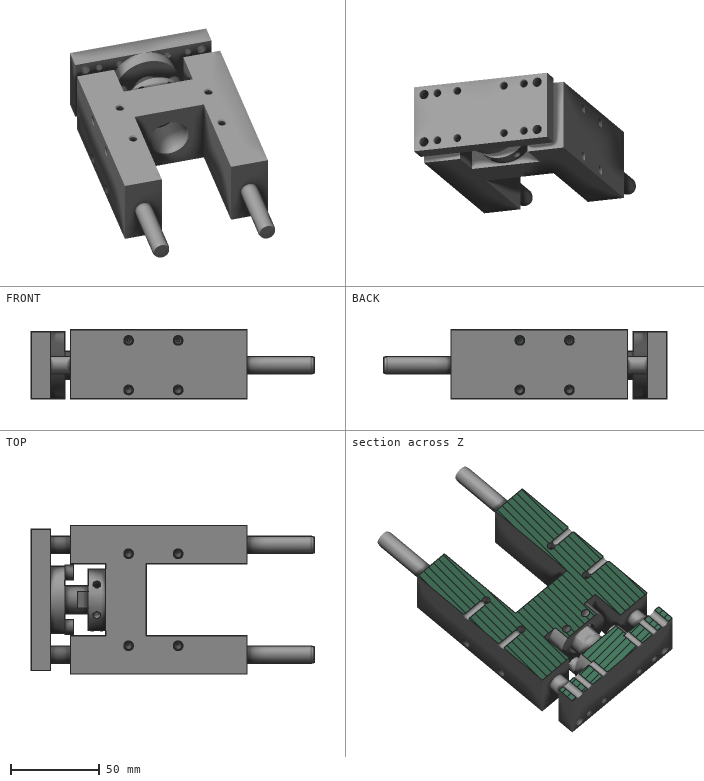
import cadquery as cq
import math


total_length = 160.0
housing_width = 84.0
housing_height = 39.0

plate_thickness = 11.0
plate_width = 80.0
plate_drop = 1.04
plate_height = housing_height - plate_drop
plate_bottom = -plate_height / 2
hole_pitch = 28.0
wide_hole_spacing = 52.0
hole_row_offset = hole_pitch / 2
plain_hole_diameter = 5.5
plain_hole_spacing = 68.0
plain_hole_offset = plain_hole_spacing / 2
tapped_hole_diameter = 4.2
plate_chamfer_diameter = 5.0
plate_tapped_offsets = (hole_pitch / 2, wide_hole_spacing / 2)

rod_diameter = 10.0
rod_offset = 31.0
rod_tip_length = 1.8
rod_tip_diameter = 9.0

flange_diameter = plate_height
flange_thickness = 8.0
screw_head_diameter = 8.6
screw_head_height = 5.0
screw_offset = 15.4
stud_diameter = 16.0
flats_start = 26.0
flats_width = 13.0
stud_end = 33.3

housing_start = 22.0
housing_length = 100.0
housing_end = housing_start + housing_length
opening_width = 40.6
web_start = 42.0
web_thickness = 23.0
web_end = web_start + web_thickness
web_bore_diameter = 22.7

collar_diameter = 35.0
collar_bore_diameter = 20.3
collar_width = 10.0
collar_start = web_start - collar_width
spanner_hole_diameter = 4.2
spanner_hole_count = 6

fixing_hole_depth = 13.3
fixing_chamfer_diameter = 5.5
fixing_first_x = 55.0
fixing_offset = wide_hole_spacing / 2
drill_point_angle = 118.0


def cylinder_x(start, end, diameter, y=0.0, z=0.0):
    """Round bar along X between two X positions."""
    return cq.Workplane("YZ", origin=(start, y, z)).circle(diameter / 2).extrude(end - start)


def box_x(start, end, width, height, bottom):
    """Block between two X positions, centred on Y."""
    block = cq.Workplane("XY").box(end - start, width, height, centered=(False, True, False))
    return block.translate((start, 0, bottom))


def cone_along(point, direction, base_diameter, top_diameter, height):
    """Cone that starts at a point and tapers along a direction."""
    start = cq.Vector(*point)
    axis = cq.Vector(*direction)
    return cq.Workplane(cq.Solid.makeCone(base_diameter / 2, top_diameter / 2, height, start, axis))


def cylinder_along(point, direction, diameter, length):
    """Round bar from a point in any direction."""
    start = cq.Vector(*point)
    axis = cq.Vector(*direction)
    return cq.Workplane(cq.Solid.makeCylinder(diameter / 2, length, start, axis))


def tapped_hole(point, direction, depth, chamfer_diameter):
    """Cutter for a drilled hole with a 45 degree chamfer at its mouth."""
    chamfer = (chamfer_diameter - tapped_hole_diameter) / 2
    drill = cylinder_along(point, direction, tapped_hole_diameter, depth)
    return drill.union(cone_along(point, direction, chamfer_diameter, tapped_hole_diameter, chamfer))


def blind_tapped_hole(point, direction):
    """Tapped housing hole that ends in a drill point."""
    tip_height = tapped_hole_diameter / 2 / math.tan(math.radians(drill_point_angle / 2))
    bottom = [p + fixing_hole_depth * d for p, d in zip(point, direction)]
    hole = tapped_hole(point, direction, fixing_hole_depth, fixing_chamfer_diameter)
    return hole.union(cone_along(bottom, direction, tapped_hole_diameter, 0, tip_height))


def make_plate():
    """Mounting plate with plain corner holes and tapped holes between them."""
    plate = box_x(0, plate_thickness, plate_width, plate_height, plate_bottom)
    for side in (-1, 1):
        for row in (-hole_row_offset, hole_row_offset):
            plate = plate.cut(
                cylinder_x(0, plate_thickness, plain_hole_diameter, side * plain_hole_offset, row)
            )
            for offset in plate_tapped_offsets:
                point = (0, side * offset, row)
                plate = plate.cut(tapped_hole(point, (1, 0, 0), plate_thickness, plate_chamfer_diameter))
    return plate


def make_rod(y):
    """Guide rod with a slim tapered tip."""
    tip_start = total_length - rod_tip_length
    rod = cylinder_x(plate_thickness, tip_start, rod_diameter, y)
    tip = cone_along((tip_start, y, 0), (1, 0, 0), rod_diameter, rod_tip_diameter, rod_tip_length)
    return rod.union(tip)


def make_coupling():
    """Round flange with two screw heads and a stud with two wrench flats."""
    flange_end = plate_thickness + flange_thickness
    coupling = cylinder_x(plate_thickness, flange_end, flange_diameter)
    stud = cylinder_x(flange_end, stud_end, stud_diameter)
    relief = (stud_diameter - flats_width) / 2
    for bottom in (flats_width / 2, -flats_width / 2 - relief):
        stud = stud.cut(box_x(flats_start, stud_end, stud_diameter, relief, bottom))
    coupling = coupling.union(stud)
    for y in (-screw_offset, screw_offset):
        coupling = coupling.union(
            cylinder_x(flange_end, flange_end + screw_head_height, screw_head_diameter, y)
        )
    return coupling


def make_carriage():
    """Sliding body: plate, coupling and both guide rods in one piece."""
    carriage = make_plate().union(make_coupling())
    for y in (-rod_offset, rod_offset):
        carriage = carriage.union(make_rod(y))
    return carriage


def make_collar():
    """Ring with radial spanner holes that open into its bore."""
    collar = cylinder_x(collar_start, web_start, collar_diameter)
    middle = collar_start + collar_width / 2
    for index in range(spanner_hole_count):
        angle = math.radians((index + 0.5) * 360 / spanner_hole_count)
        direction = (0, math.sin(angle), math.cos(angle))
        spanner_hole = cylinder_along((middle, 0, 0), direction, spanner_hole_diameter, collar_diameter)
        collar = collar.cut(spanner_hole)
    return collar.cut(cylinder_x(collar_start, web_start, collar_bore_diameter))


def make_housing():
    """H-shaped body with rod bores, a web bore, fixing holes and the collar."""
    top = plate_bottom + housing_height
    housing = box_x(housing_start, housing_end, housing_width, housing_height, plate_bottom)
    for start, end in ((housing_start, web_start), (web_end, housing_end)):
        housing = housing.cut(box_x(start, end, opening_width, housing_height, plate_bottom))
    housing = housing.cut(cylinder_x(web_start, web_end, web_bore_diameter))
    for side in (-1, 1):
        housing = housing.cut(cylinder_x(housing_start, housing_end, rod_diameter, side * rod_offset))
        for x in (fixing_first_x, fixing_first_x + hole_pitch):
            housing = housing.cut(blind_tapped_hole((x, side * fixing_offset, top), (0, 0, -1)))
            for row in (-hole_row_offset, hole_row_offset):
                point = (x, side * housing_width / 2, row)
                housing = housing.cut(blind_tapped_hole(point, (0, -side, 0)))
    return housing.union(make_collar())


carriage = make_carriage().solids()
housing = make_housing().solids()
result = cq.Compound.makeCompound([carriage.val(), housing.val()])